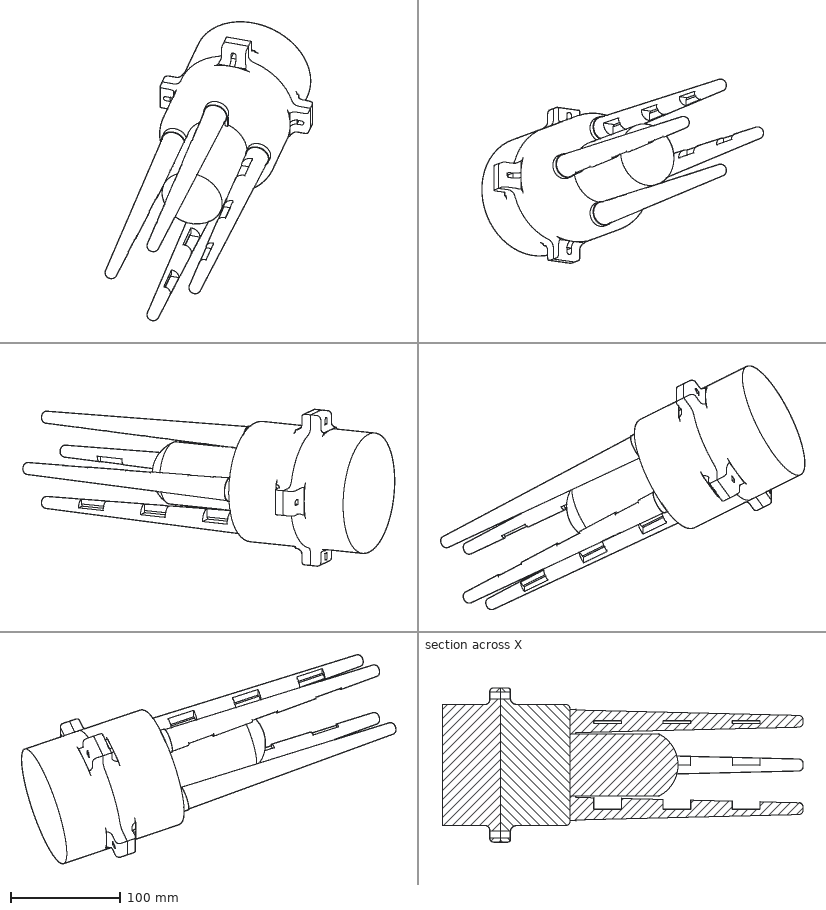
import cadquery as cq
import math

TOTAL_LENGTH = 330.0

HOUSING_RADIUS = 55.5
HOUSING_LENGTH = 116.8
SPLIT_DEPTH = 53.5
RIM_FILLET = 3.3

LUG_COUNT = 4
LUG_TIP_RADIUS = 70.5
LUG_HALF_WIDTH = 11.5
LUG_REAR_DEPTH = 43.2
LUG_FRONT_DEPTH = 62.5
REAR_TIP_FILLET = 4.0
FRONT_TIP_FILLET = 2.5
SIDE_FLARE = 7.3
REAR_FLARE = 4.0
FRONT_FLARE = 5.5
BOLT_SLOT_RADIUS = 2.3
BOLT_SLOT_CENTRE = 64.5
BOLT_SLOT_FLOOR = 60.5

RIB_INNER_X = 8.2
RIB_OUTER_X = 11.0
RIB_TOP = 35.0
RIB_LENGTH = 2.5

CORE_RADIUS = 28.7
CORE_SHOULDER_DEPTH = 198.0
CORE_TIP_DEPTH = 215.8

ROD_COUNT = 4
ROD_CIRCLE_RADIUS = 40.0
COLLAR_RADIUS = 11.2
COLLAR_DEPTH = 122.0
ROD_BASE_RADIUS = 10.5
ROD_END_RADIUS = 5.5
ROD_SHOULDER_DEPTH = 326.0
ROD_TIP_FLAT_RADIUS = 1.3
ROD_NOSE_RADIUS = 4.3

NOTCH_COUNT = 3
NOTCH_FIRST_DEPTH = 138.5
NOTCH_PITCH = 63.5
NOTCH_LENGTH = 25.0
NOTCH_WALL = 0.3
NOTCH_BEVEL_WIDTH = 2.3
NOTCH_BEVEL_DROP = 1.3
NOTCH_REACH = 16.5


def turned(body, angle):
    """Turn a body about the long axis."""
    return body.rotate((0, 0, 0), (0, 1, 0), angle)


def make_lug():
    """Upright lug on the +Z side: where its two flared outlines cross."""
    centre_x = LUG_HALF_WIDTH + SIDE_FLARE
    lean = math.asin(centre_x / (HOUSING_RADIUS + SIDE_FLARE))
    centre_z = (HOUSING_RADIUS + SIDE_FLARE) * math.cos(lean)
    foot_x = HOUSING_RADIUS * math.sin(lean)
    foot_z = HOUSING_RADIUS * math.cos(lean)
    mid_angle = (math.pi / 2 + lean) / 2
    mid_x = centre_x - SIDE_FLARE * math.sin(mid_angle)
    mid_z = centre_z - SIDE_FLARE * math.cos(mid_angle)
    across = (
        cq.Workplane("XZ")
        .moveTo(-foot_x, 0)
        .lineTo(-foot_x, foot_z)
        .threePointArc((-mid_x, mid_z), (-LUG_HALF_WIDTH, centre_z))
        .lineTo(-LUG_HALF_WIDTH, LUG_TIP_RADIUS)
        .lineTo(LUG_HALF_WIDTH, LUG_TIP_RADIUS)
        .lineTo(LUG_HALF_WIDTH, centre_z)
        .threePointArc((mid_x, mid_z), (foot_x, foot_z))
        .lineTo(foot_x, 0)
        .close()
        .extrude(HOUSING_LENGTH)
    )
    along = (
        cq.Workplane("YZ")
        .moveTo(-LUG_REAR_DEPTH + REAR_FLARE, 0)
        .lineTo(-LUG_REAR_DEPTH + REAR_FLARE, HOUSING_RADIUS)
        .radiusArc((-LUG_REAR_DEPTH, HOUSING_RADIUS + REAR_FLARE), REAR_FLARE)
        .lineTo(-LUG_REAR_DEPTH, LUG_TIP_RADIUS)
        .lineTo(-LUG_FRONT_DEPTH, LUG_TIP_RADIUS)
        .lineTo(-LUG_FRONT_DEPTH, HOUSING_RADIUS + FRONT_FLARE)
        .radiusArc((-LUG_FRONT_DEPTH - FRONT_FLARE, HOUSING_RADIUS), FRONT_FLARE)
        .lineTo(-LUG_FRONT_DEPTH - FRONT_FLARE, 0)
        .close()
        .extrude(foot_x, both=True)
    )
    lug = across.intersect(along)
    lug = lug.edges(">Z and |X").edges(">Y").fillet(REAR_TIP_FILLET)
    lug = lug.edges(">Z and |X").edges("<Y").fillet(FRONT_TIP_FILLET)
    return lug.cut(make_bolt_slot()).cut(make_foot_groove())


def make_bolt_slot():
    """Through slot in a lug, round at the outer end and flat at the inner end."""
    height = BOLT_SLOT_CENTRE - BOLT_SLOT_FLOOR
    tail = (
        cq.Workplane("XZ")
        .center(0, BOLT_SLOT_CENTRE - height / 2)
        .rect(2 * BOLT_SLOT_RADIUS, height)
        .extrude(HOUSING_LENGTH)
    )
    return (
        cq.Workplane("XZ")
        .center(0, BOLT_SLOT_CENTRE)
        .circle(BOLT_SLOT_RADIUS)
        .extrude(HOUSING_LENGTH)
        .union(tail)
    )


def make_foot_groove():
    """Shallow groove running from the slot's floor down the front foot."""
    toe_y = -LUG_FRONT_DEPTH - FRONT_FLARE
    return (
        cq.Workplane("YZ")
        .moveTo(-LUG_FRONT_DEPTH, BOLT_SLOT_FLOOR)
        .radiusArc((toe_y, HOUSING_RADIUS), FRONT_FLARE)
        .lineTo(toe_y, BOLT_SLOT_FLOOR)
        .close()
        .extrude(BOLT_SLOT_RADIUS, both=True)
    )


def make_rib():
    """Rib on the front face, trimmed clear of the core and the top rod's collar."""
    rib = (
        cq.Workplane("XY")
        .box(RIB_OUTER_X - RIB_INNER_X, RIB_LENGTH, RIB_TOP, centered=False)
        .translate((RIB_INNER_X, -HOUSING_LENGTH - RIB_LENGTH, 0))
    )
    core_clearance = cq.Workplane("XZ").circle(CORE_RADIUS).extrude(COLLAR_DEPTH)
    collar_clearance = (
        cq.Workplane("XZ").center(0, ROD_CIRCLE_RADIUS).circle(COLLAR_RADIUS).extrude(COLLAR_DEPTH)
    )
    return rib.cut(core_clearance).cut(collar_clearance)


def make_whole_housing():
    """Drum with its lugs, before it is split."""
    whole = cq.Workplane("XZ").circle(HOUSING_RADIUS).extrude(HOUSING_LENGTH)
    whole = whole.faces("<Y").edges().fillet(RIM_FILLET)
    for i in range(LUG_COUNT):
        whole = whole.union(turned(make_lug(), i * 360 / LUG_COUNT))
    return whole


def make_rear_space():
    """Block that holds everything behind the split."""
    width = 3 * LUG_TIP_RADIUS
    return cq.Workplane("XZ").rect(width, width).extrude(SPLIT_DEPTH)


def make_rear_housing():
    return make_whole_housing().intersect(make_rear_space())


def make_front_housing():
    return make_whole_housing().cut(make_rear_space()).union(make_rib())


def make_core():
    """Cylinder with a shallow spherical dome at its front end."""
    rise = CORE_TIP_DEPTH - CORE_SHOULDER_DEPTH
    dome_radius = (CORE_RADIUS**2 + rise**2) / (2 * rise)
    half_angle = math.asin(CORE_RADIUS / dome_radius) / 2
    dome_mid = (
        dome_radius * math.sin(half_angle),
        dome_radius * (1 - math.cos(half_angle)) - CORE_TIP_DEPTH,
    )
    return (
        cq.Workplane("XY")
        .moveTo(0, -HOUSING_LENGTH)
        .lineTo(CORE_RADIUS, -HOUSING_LENGTH)
        .lineTo(CORE_RADIUS, -CORE_SHOULDER_DEPTH)
        .threePointArc(dome_mid, (0, -CORE_TIP_DEPTH))
        .close()
        .revolve(360, (0, 0, 0), (0, 1, 0))
    )


def make_notch(depth):
    """Quarter cut with a flat floor on the rod's axis and a bevel falling to the wall."""
    return (
        cq.Workplane("XZ", origin=(0, -depth, 0))
        .moveTo(-NOTCH_REACH, 0)
        .lineTo(NOTCH_WALL - NOTCH_BEVEL_WIDTH, 0)
        .lineTo(NOTCH_WALL, -NOTCH_BEVEL_DROP)
        .lineTo(NOTCH_WALL, NOTCH_REACH)
        .lineTo(-NOTCH_REACH, NOTCH_REACH)
        .close()
        .extrude(NOTCH_LENGTH)
    )


def make_rod():
    """Rod on the +X side of the housing's front face."""
    rod = (
        cq.Workplane("XY")
        .moveTo(0, -HOUSING_LENGTH)
        .lineTo(COLLAR_RADIUS, -HOUSING_LENGTH)
        .lineTo(COLLAR_RADIUS, -COLLAR_DEPTH)
        .lineTo(ROD_BASE_RADIUS, -COLLAR_DEPTH)
        .lineTo(ROD_END_RADIUS, -ROD_SHOULDER_DEPTH)
        .radiusArc((ROD_TIP_FLAT_RADIUS, -TOTAL_LENGTH), ROD_NOSE_RADIUS)
        .lineTo(0, -TOTAL_LENGTH)
        .close()
        .revolve(360, (0, 0, 0), (0, 1, 0))
    )
    for i in range(NOTCH_COUNT):
        rod = rod.cut(make_notch(NOTCH_FIRST_DEPTH + i * NOTCH_PITCH))
    return rod.translate((ROD_CIRCLE_RADIUS, 0, 0))


rear_housing = make_rear_housing()
front_housing = make_front_housing()
core = make_core()
rods = [turned(make_rod(), i * 360 / ROD_COUNT) for i in range(ROD_COUNT)]

result = cq.Compound.makeCompound(
    [
        rear_housing.solids().val(),
        front_housing.solids().val(),
        core.solids().val(),
        *[rod.solids().val() for rod in rods],
    ]
)